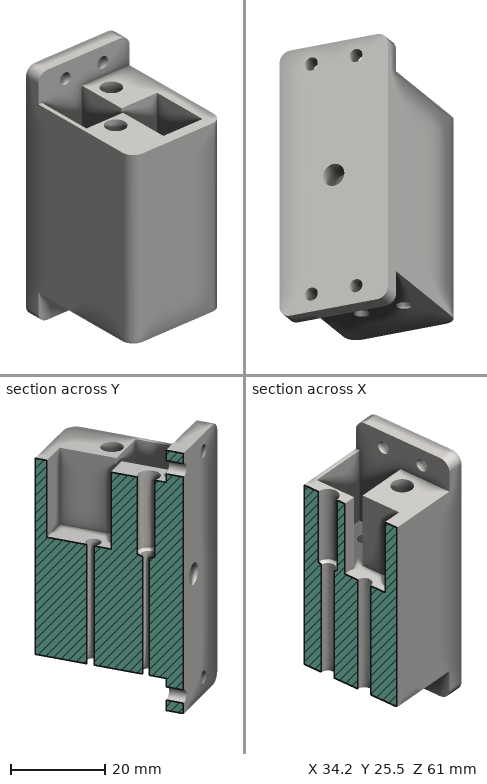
import cadquery as cq
import math

length = 34.2
width = 25.5
height = 61.0
plate_thickness = 4.0
plate_corner_radius = 2.5
plate_hole_diameter = 3.0
plate_hole_spacing = 10.5
plate_hole_end_distance = 4.0

body_height = 46.0
body_corner_radius = 3.0
body_top = body_height / 2

pocket_depth = 18.0
near_pocket_end = 18.4
near_pocket_offset = 1.0
near_pocket_width = 11.2
far_pocket_start = 16.8
far_pocket_end = 31.5
far_pocket_offset = 11.2
far_pocket_width = 11.0

hole_diameter = 3.5
bore_diameter = 5.0
bore_depth = 18.0
bore_tip_angle = 118.0
front_hole_x = 8.65
rear_hole_x = 21.5
near_pocket_hole_y = -6.45
near_bore_y = -6.2
far_pocket_hole_y = 3.7
far_bore_y = 3.65

center_hole_diameter = 5.0
center_hole_depth = 6.0


def make_plate():
    plate = cq.Workplane("XY").box(plate_thickness, width, height, centered=(False, True, True))
    plate = plate.edges("|X").fillet(plate_corner_radius)
    hole_rows = height - 2 * plate_hole_end_distance
    return (
        plate.faces("<X").workplane(origin=(0, 0, 0))
        .rarray(plate_hole_spacing, hole_rows, 2, 2)
        .hole(plate_hole_diameter)
    )


def make_body():
    body = cq.Workplane("XY").box(
        length - plate_thickness, width, body_height, centered=(False, True, True)
    )
    body = body.edges("|Z and >X").fillet(body_corner_radius)
    return body.translate((plate_thickness, 0, 0))


def make_pocket(start_x, end_x, side_offset, pocket_width):
    pocket = cq.Workplane("XY").box(end_x - start_x, pocket_width, pocket_depth, centered=False)
    return pocket.translate((start_x, side_offset - width / 2, body_top - pocket_depth))


def make_through_hole(x, y):
    hole = cq.Workplane("XY").circle(hole_diameter / 2).extrude(body_height)
    return hole.translate((x, y, -body_top))


def make_bore(x, y):
    """Wide bore from the top, narrowing conically to the through hole."""
    bore_radius = bore_diameter / 2
    hole_radius = hole_diameter / 2
    cone_height = (bore_radius - hole_radius) / math.tan(math.radians(bore_tip_angle / 2))
    profile = cq.Workplane("XZ").polyline([
        (0, 0),
        (bore_radius, 0),
        (bore_radius, -bore_depth),
        (hole_radius, -bore_depth - cone_height),
        (0, -bore_depth - cone_height),
    ]).close()
    bore = profile.revolve(360, (0, 0, 0), (0, 1, 0))
    return bore.translate((x, y, body_top))


result = make_plate().union(make_body())

result = result.cut(make_pocket(plate_thickness, near_pocket_end, near_pocket_offset, near_pocket_width))
result = result.cut(make_pocket(far_pocket_start, far_pocket_end, far_pocket_offset, far_pocket_width))

bore_positions = [(front_hole_x, far_bore_y), (rear_hole_x, near_bore_y)]
pocket_hole_positions = [(front_hole_x, near_pocket_hole_y), (rear_hole_x, far_pocket_hole_y)]
for x, y in bore_positions + pocket_hole_positions:
    result = result.cut(make_through_hole(x, y))
for x, y in bore_positions:
    result = result.cut(make_bore(x, y))

center_hole = cq.Workplane("YZ").circle(center_hole_diameter / 2).extrude(center_hole_depth)
result = result.cut(center_hole)